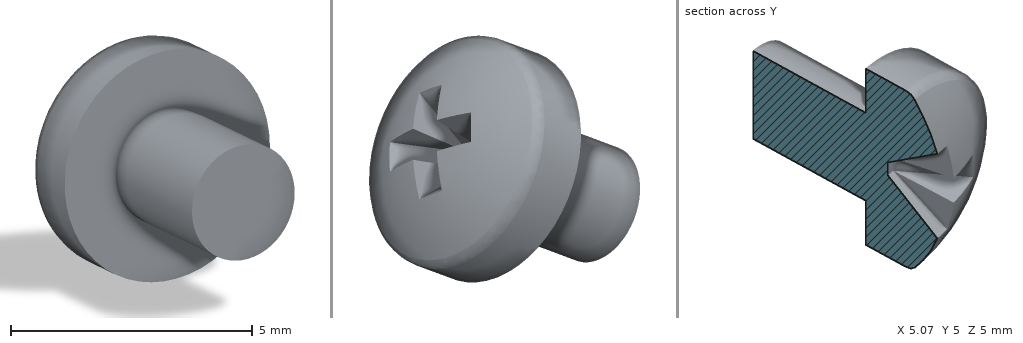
import cadquery as cq
import math

SHANK_LENGTH = 3.0
SHANK_DIAMETER = 2.5
HEAD_DIAMETER = 5.0
HEAD_HEIGHT = 2.1
DOME_RADIUS = 4.0
RIM_FILLET = 0.3

RECESS_DEPTH = 1.5
FLOOR_SIDE = 0.355
WING_MOUTH_WIDTH = 0.7
WING_TIP_MOUTH_RADIUS = 1.335

CUTTER_OVERRUN = 0.05


def make_head():
    """Domed disc: a cylinder trimmed by a sphere, with the rim rounded."""
    disc = cq.Workplane("YZ").circle(HEAD_DIAMETER / 2).extrude(-HEAD_HEIGHT)
    sphere_center_x = DOME_RADIUS - HEAD_HEIGHT
    dome = cq.Workplane("XY").sphere(DOME_RADIUS).translate((sphere_center_x, 0, 0))
    rim_x = sphere_center_x - math.sqrt(DOME_RADIUS**2 - (HEAD_DIAMETER / 2) ** 2)
    rim_point = (rim_x, 0, HEAD_DIAMETER / 2)
    rim = cq.selectors.NearestToPointSelector(rim_point)
    return disc.intersect(dome).edges("%CIRCLE").edges(rim).fillet(RIM_FILLET)


def make_shank():
    return cq.Workplane("YZ").circle(SHANK_DIAMETER / 2).extrude(SHANK_LENGTH)


def extend_mouth(mouth_size):
    """Size of a tapering recess section at the start of the cutter."""
    taper_per_depth = (mouth_size - FLOOR_SIDE) / RECESS_DEPTH
    return mouth_size + taper_per_depth * CUTTER_OVERRUN


def make_wing_pair():
    """Tapered slot along Y, narrowing from the mouth to the square floor."""
    length = extend_mouth(2 * WING_TIP_MOUTH_RADIUS)
    width = extend_mouth(WING_MOUTH_WIDTH)
    return (
        cq.Workplane("YZ", origin=(-HEAD_HEIGHT - CUTTER_OVERRUN, 0, 0))
        .rect(length, width)
        .workplane(offset=RECESS_DEPTH + CUTTER_OVERRUN)
        .rect(FLOOR_SIDE, FLOOR_SIDE)
        .loft(ruled=True)
    )


result = make_head().union(make_shank())
for angle in (0, 90):
    result = result.cut(make_wing_pair().rotate((0, 0, 0), (1, 0, 0), angle))